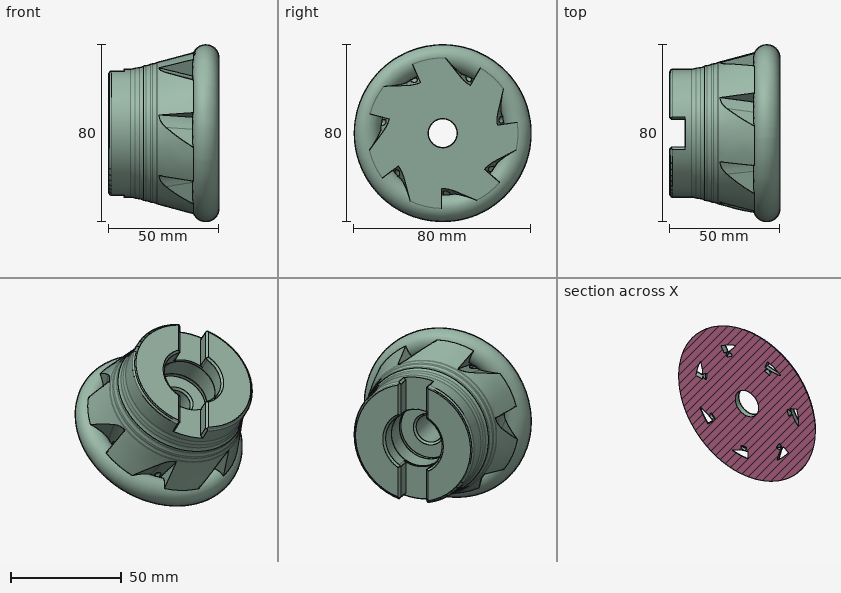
import cadquery as cq
import math


outer_radius = 40.0
total_length = 50.0
ring_tube_radius = 6.0
ring_centre_radius = outer_radius - ring_tube_radius
ring_centre_x = total_length - ring_tube_radius

collar_radius = 29.0
collar_length = 10.0
edge_round = 1.0
edge_chamfer = 0.5
edge_length = 1.46

flare_end = (12.0, 29.4)
groove_starts = [(14.0, 29.7), (16.9, 30.6), (20.0, 31.4)]
groove_ends = [(15.9, 30.4), (19.0, 31.2), (21.8, 31.9)]

cone_angle = math.radians(15.0)
cone_start_x = 22.2
cone_start_radius = 32.05

bore_steps = [(27.3 / 2, 8.3), (27.15 / 2, 18.2), (27.0 / 2, 20.0)]
bore_mouth_chamfer = 1.0
hole_radius = 13.0 / 2
hole_chamfer = 1.0

slot_width = 12.4
slot_depth = 7.1
slot_chamfer = 1.05
bore_corner_run = 0.8
bore_corner_rise = 0.2

pocket_angles = [14.8, 66.3, 120.0, 171.7, 220.8, 271.0, 323.4]
pocket_start_x = 22.9
pocket_tilt = cone_angle
pocket_curve_radius = 16.5
pocket_ramp_angle = math.radians(21.0)
pocket_reach = 30.0

drain_diameter = 3.0
drain_x = 42.6
drain_from_wall = 2.2
drain_tilt = math.radians(35.0)
drain_depth = 6.0


def cone_radius(x):
    return cone_start_radius + (x - cone_start_x) * math.tan(cone_angle)


def tangent_arc_middle(start, end):
    """Middle of the arc that leaves start along the first axis and reaches end."""
    run = end[0] - start[0]
    rise = end[1] - start[1]
    radius = (run ** 2 + rise ** 2) / (2 * rise)
    half_angle = math.asin(run / radius) / 2
    middle_run = radius * math.sin(half_angle)
    middle_rise = radius * (1 - math.cos(half_angle))
    return (start[0] + middle_run, start[1] + middle_rise)


def revolve_about_x(profile):
    return profile.revolve(360, (0, 0, 0), (1, 0, 0))


def make_body():
    """Solid collar, grooves, cone and hub as one turned profile."""
    round_run = edge_length - edge_chamfer
    round_rise = edge_round - math.sqrt(edge_round ** 2 - round_run ** 2)
    round_start_radius = collar_radius - round_rise
    collar_end = (collar_length, collar_radius)
    profile = (
        cq.Workplane("XY")
        .lineTo(0, round_start_radius - edge_chamfer)
        .lineTo(edge_chamfer, round_start_radius)
        .radiusArc((edge_length, collar_radius), edge_round)
        .lineTo(*collar_end)
        .threePointArc(tangent_arc_middle(collar_end, flare_end), flare_end)
    )
    for start, end in zip(groove_starts, groove_ends):
        profile = profile.lineTo(*start)
        profile = profile.threePointArc(tangent_arc_middle(start, end), end)
    profile = (
        profile.lineTo(cone_start_x, cone_start_radius)
        .lineTo(ring_centre_x, cone_radius(ring_centre_x))
        .lineTo(ring_centre_x, ring_centre_radius)
        .lineTo(total_length, ring_centre_radius)
        .lineTo(total_length, 0)
        .close()
    )
    return revolve_about_x(profile)


def make_ring():
    tube = cq.Workplane("XY").moveTo(ring_centre_x, ring_centre_radius).circle(ring_tube_radius)
    return revolve_about_x(tube)


def make_pocket():
    """Cutter for a pocket whose flat wall lies in the XY plane on the -Y side.

    The floor starts square to the wall, curves outward and runs on as a ramp.
    It sinks toward the axis as it nears the ring.
    """
    plane = cq.Plane(
        origin=(pocket_start_x, -cone_radius(pocket_start_x), 0),
        xDir=(0, 0, -1),
        normal=(-math.cos(pocket_tilt), -math.sin(pocket_tilt), 0),
    )
    curve_run = pocket_curve_radius * math.sin(pocket_ramp_angle)
    curve_rise = pocket_curve_radius * (1 - math.cos(pocket_ramp_angle))
    curve_end = (curve_run, curve_rise)
    ramp_rise = (pocket_reach - curve_run) * math.tan(pocket_ramp_angle)
    return (
        cq.Workplane(plane)
        .threePointArc(tangent_arc_middle((0, 0), curve_end), curve_end)
        .lineTo(pocket_reach, curve_rise + ramp_rise)
        .lineTo(0, pocket_reach)
        .close()
        .extrude(-total_length)
    )


def make_drain():
    """Cutter for the small slanted hole beside the pocket wall."""
    floor_drop = (drain_x - pocket_start_x) * math.tan(pocket_tilt)
    plane = cq.Plane(
        origin=(drain_x, floor_drop - cone_radius(pocket_start_x), -drain_from_wall),
        xDir=(0, 0, 1),
        normal=(math.cos(drain_tilt), math.sin(drain_tilt), 0),
    )
    return cq.Workplane(plane).circle(drain_diameter / 2).extrude(drain_depth, both=True)


def make_bore():
    """Cutter for the stepped bore and the through hole."""
    mouth_radius = bore_steps[0][0]
    profile = (
        cq.Workplane("XY")
        .lineTo(0, mouth_radius + bore_mouth_chamfer)
        .lineTo(bore_mouth_chamfer, mouth_radius)
    )
    step_x = bore_mouth_chamfer
    for radius, end_x in bore_steps:
        if step_x > bore_mouth_chamfer:
            profile = profile.lineTo(step_x, radius)
        profile = profile.lineTo(end_x, radius)
        step_x = end_x
    profile = (
        profile.lineTo(step_x, hole_radius + hole_chamfer)
        .lineTo(step_x + hole_chamfer, hole_radius)
        .lineTo(total_length, hole_radius)
        .lineTo(total_length, 0)
        .close()
    )
    return revolve_about_x(profile)


def make_slot():
    """Cutter for the drive slot, flared at the front face and at the collar's outside."""
    half_width = slot_width / 2
    wide_half = half_width + slot_chamfer
    flared_slot = (
        cq.Workplane("XY")
        .moveTo(0, -wide_half)
        .lineTo(slot_chamfer, -half_width)
        .lineTo(slot_depth, -half_width)
        .lineTo(slot_depth, half_width)
        .lineTo(slot_chamfer, half_width)
        .lineTo(0, wide_half)
        .close()
        .extrude(outer_radius, both=True)
    )
    corner_z = math.sqrt(collar_radius ** 2 - wide_half ** 2)
    for side in (1, -1):
        outside_flare = (
            cq.Workplane("YZ")
            .moveTo(-half_width, side * (corner_z - slot_chamfer))
            .lineTo(half_width, side * (corner_z - slot_chamfer))
            .lineTo(wide_half, side * corner_z)
            .lineTo(wide_half, side * outer_radius)
            .lineTo(-wide_half, side * outer_radius)
            .lineTo(-wide_half, side * corner_z)
            .close()
            .extrude(slot_depth)
        )
        flared_slot = flared_slot.union(outside_flare)
    return flared_slot.union(make_bore_corners())


def make_bore_corners():
    """Cutter for the shallow bevels where the slot walls meet the bore."""
    half_width = slot_width / 2
    bore_radius = bore_steps[0][0]
    bevel_half = half_width + bore_corner_run
    bevel_z = math.sqrt(bore_radius ** 2 - bevel_half ** 2)
    wall_z = math.sqrt(bore_radius ** 2 - half_width ** 2) + bore_corner_rise
    return (
        cq.Workplane("YZ")
        .moveTo(-bevel_half, -bevel_z)
        .lineTo(-half_width, -wall_z)
        .lineTo(half_width, -wall_z)
        .lineTo(bevel_half, -bevel_z)
        .lineTo(bevel_half, bevel_z)
        .lineTo(half_width, wall_z)
        .lineTo(-half_width, wall_z)
        .lineTo(-bevel_half, bevel_z)
        .close()
        .extrude(slot_depth)
    )


body = make_body()
pocket_cutters = (make_pocket(), make_drain())
for angle in pocket_angles:
    for cutter in pocket_cutters:
        body = body.cut(cutter.rotate((0, 0, 0), (1, 0, 0), -angle))

result = body.union(make_ring()).cut(make_bore()).cut(make_slot())